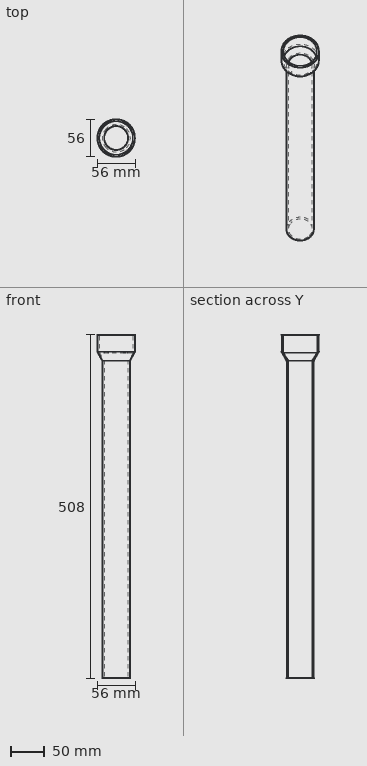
import cadquery as cq

total_length = 508.0
tube_diameter = 41.0
bore_diameter = 35.0
socket_diameter = 56.0
socket_bore_diameter = 50.0
socket_height = 25.0
socket_depth = 26.5
taper_height = 13.0

taper_bottom = total_length - socket_height - taper_height


def stepped_solid(lower_diameter, upper_diameter, upper_height):
    """Round bar that flares through a cone into a wider cylinder at the top."""
    outline = [
        (0, 0),
        (lower_diameter / 2, 0),
        (lower_diameter / 2, taper_bottom),
        (upper_diameter / 2, total_length - upper_height),
        (upper_diameter / 2, total_length),
        (0, total_length),
    ]
    return cq.Workplane("XZ").polyline(outline).close().revolve(360, (0, 0), (0, 1))


outer_body = stepped_solid(tube_diameter, socket_diameter, socket_height)
inner_void = stepped_solid(bore_diameter, socket_bore_diameter, socket_depth)

result = outer_body.cut(inner_void)